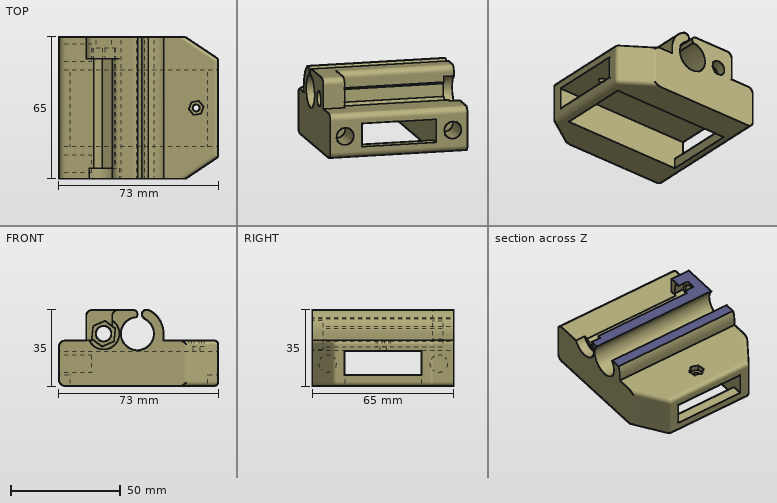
import cadquery as cq
import math

length = 73.0
width = 65.0
height = 35.0
mid_y = width / 2

base_height = 20.95
corner_radius = 3.0
taper_length = 15.0
taper_depth = 10.0
nose_radius = 2.0

bore_x = 36.0
bore_z = 24.0
bore_radius = 7.5
clip_radius = 12.05
left_tip_radius = 2.05
left_tip_x = 34.0
right_tip_radius = 2.05
right_tip_angle = 65.5

stop_x = 12.5
stop_thickness = 10.0
ledge_x = 24.45

rod_x = 20.5
rod_z = 24.0
rod_hole_radius = 3.5
rod_hex_radius = 5.9
rod_hex_angle = 23.8
rod_hex_stop_depth = 5.0
seat_radius = 7.2
seat_depth = 4.8

cavity_width = 35.05
cavity_floor = 5.1
cavity_ceiling = 16.0
end_sill = 5.0

socket_radius = 4.0
socket_spacing = 50.95
socket_z = 10.45
socket_depth = 15.0

nut_x = 62.9
nut_hex_radius = 3.4
nut_hex_angle = 10.0
nut_depth = 2.8
screw_radius = 1.5


def block(x0, x1, y0, y1, z0, z1):
    """Axis-aligned box between two opposite corners."""
    return cq.Workplane("XY").box(x1 - x0, y1 - y0, z1 - z0, centered=False).translate((x0, y0, z0))


def cylinder_along_y(x, z, radius, y0, y1):
    return cq.Workplane("XZ", origin=(x, y0, z)).circle(radius).extrude(y0 - y1)


def hexagon_points(radius, first_angle):
    angles = [math.radians(first_angle + 60 * i) for i in range(6)]
    return [(radius * math.cos(a), radius * math.sin(a)) for a in angles]


def make_base():
    outline = [
        (0, 0),
        (length - taper_length, 0),
        (length, taper_depth),
        (length, width - taper_depth),
        (length - taper_length, width),
        (0, width),
    ]
    base = cq.Workplane("XY").polyline(outline).close().extrude(base_height)
    base = base.edges("<X and |Y").fillet(corner_radius)
    nose_zone = cq.selectors.BoxSelector(
        (length - taper_length + nose_radius, -0.7, -0.7), (length + 0.7, width + 0.7, base_height + 0.7)
    )
    base = base.edges(nose_zone).fillet(nose_radius)
    soft_plan = cq.Workplane("XY").polyline(outline).close().extrude(base_height)
    taper_start = cq.selectors.BoxSelector(
        (length - taper_length - 0.7, -0.7, -0.7), (length - taper_length + 0.7, width + 0.7, base_height + 0.7)
    )
    soft_plan = soft_plan.edges("|Z").edges(taper_start).fillet(nose_radius)
    return base.intersect(soft_plan)


def make_clip():
    """C-shaped tube clip with a flat-topped left jaw and a round right jaw."""
    ring = cylinder_along_y(bore_x, bore_z, clip_radius, 0, width)
    tip_angle = math.radians(right_tip_angle)
    far = 2 * clip_radius
    right_sector = (
        cq.Workplane("XZ", origin=(bore_x, 0, bore_z))
        .polyline([(0, 0), (far * math.cos(tip_angle), far * math.sin(tip_angle)), (far, 0)])
        .close()
        .extrude(-width)
    )
    tip_orbit = (bore_radius + clip_radius) / 2
    right_tip = cylinder_along_y(
        bore_x + tip_orbit * math.cos(tip_angle),
        bore_z + tip_orbit * math.sin(tip_angle),
        right_tip_radius, 0, width,
    )
    right_root = block(bore_x, bore_x + clip_radius, 0, width, cavity_ceiling, bore_z)
    left_jaw = block(ledge_x, left_tip_x, 0, width, cavity_ceiling, height)
    left_jaw = left_jaw.edges("<X and >Z").fillet(corner_radius)
    left_tip = cylinder_along_y(left_tip_x, height - left_tip_radius, left_tip_radius, 0, width)
    clip = ring.intersect(right_sector).union(right_root).union(right_tip)
    return clip.union(left_jaw).union(left_tip)


def make_stop():
    stop = block(stop_x, left_tip_x, width - stop_thickness, width, cavity_ceiling, height)
    return stop.edges("<X and >Z").fillet(corner_radius)


def make_rod_channel():
    trough_length = width - stop_thickness + rod_hex_stop_depth
    trough = (
        cq.Workplane("XZ", origin=(rod_x, 0, rod_z))
        .polyline(hexagon_points(rod_hex_radius, rod_hex_angle))
        .close()
        .extrude(-trough_length)
    )
    seat = cylinder_along_y(rod_x, rod_z, seat_radius, 0, seat_depth)
    hole = cylinder_along_y(rod_x, rod_z, rod_hole_radius, 0, width)
    return trough.union(seat).union(hole)


def make_cavity():
    y0 = mid_y - cavity_width / 2
    y1 = mid_y + cavity_width / 2
    window = block(0, length, y0, y1, cavity_floor, cavity_ceiling)
    bottom_opening = block(end_sill, length - end_sill, y0, y1, 0, cavity_ceiling)
    return window.union(bottom_opening)


def make_sockets():
    return (
        cq.Workplane("YZ")
        .pushPoints([(mid_y + side * socket_spacing / 2, socket_z) for side in (-1, 1)])
        .circle(socket_radius)
        .extrude(socket_depth)
    )


def make_nut_pocket():
    top = cq.Workplane("XY", origin=(nut_x, mid_y, base_height))
    pocket = top.polyline(hexagon_points(nut_hex_radius, nut_hex_angle)).close().extrude(-nut_depth)
    return pocket.union(top.circle(screw_radius).extrude(-base_height))


bore = cylinder_along_y(bore_x, bore_z, bore_radius, 0, width)

result = make_base().union(make_clip()).union(make_stop())
for cut in (bore, make_rod_channel(), make_cavity(), make_sockets(), make_nut_pocket()):
    result = result.cut(cut)